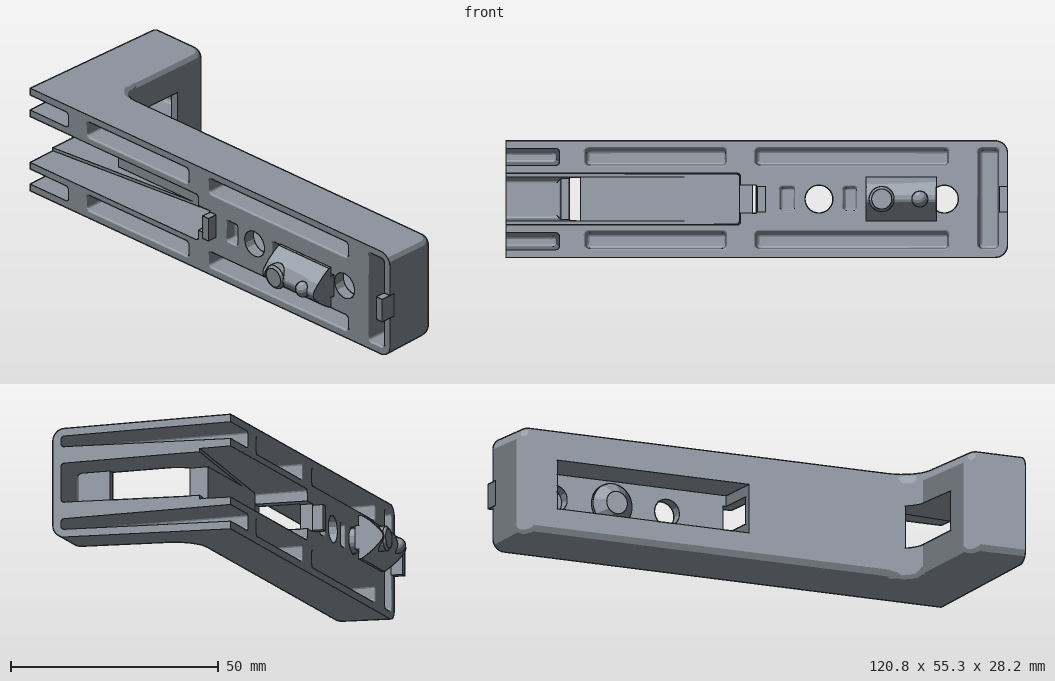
import cadquery as cq
import math

DRAFT = 1.0
draft_slope = math.tan(math.radians(DRAFT))
OVERCUT = 2.4

bracket_length = 120.8
bracket_width = 28.2
arm_height = 45.3
bar_height = 15.3
arm_thickness = 15.1
edge_radius = 3.0
inner_corner_radius = 6.0
wall = 2.0
pocket_radius = 1.0
mouth_radius = 0.5

side_pocket_spans = [(18.7, 53.7), (59.7, 107.2)]
side_pocket_inner = 7.5
side_pocket_outer = 12.6
arm_pocket_end = 12.9
arm_pocket_inner = 8.1
arm_pocket_outer = 12.2
end_pocket_start = 113.3
end_pocket_end = 119.3

narrow_half_width = 5.3
cavity_end = 13.7
window_end = 18.0
window_top = 35.3
narrow_floor = 12.0
ramp_half_width = 6.3
ramp_end = 56.5
ramp_start_depth = 7.9
narrow_floor_end = 42.9
ramp_slope = (narrow_floor - ramp_start_depth) / narrow_floor_end
slot_half_width = 3.4
slot_end = 60.3

groove_start = 59.5
groove_end = 111.2
groove_half_width = 6.0
plate_thickness = 3.0

hole_diameter = 6.6
hole_pitch = 15.1
first_hole_x = 75.4
screw_x = first_hole_x + hole_pitch
hole_positions = [first_hole_x + i * hole_pitch for i in range(3)]
key_height = 2.7
key_thickness = 1.9
key_width = 6.2
key_root = 1.5
first_key_start = 60.5
key_starts = [first_key_start, bracket_length - key_thickness]
key_pocket_width = 6.5
key_pocket_depth = 2.7
key_pocket_radius = 0.6
key_pocket_offset = hole_pitch / 2
key_pocket_lengths = [4.4, 4.0]

shank_diameter = 6.0
shank_end = -9.1
shank_chamfer = 0.6
head_diameter = 10.5
head_height = 2.4
head_top_diameter = 5.5
dome_bulge = 0.55
washer_thickness = 0.8

nut_start = 86.8
nut_length = 16.9
nut_top = -1.7
neck_half_width = 2.9
shoulder_y = -2.7
nut_half_width = 5.3
flank_start_y = -3.4
flank_middle = (3.4, -6.2)
tip_half_width = 1.2
tip_start_y = -8.3
nut_bottom = -8.8

ball_radius = 1.9
ball_x = screw_x + 9.2
ball_y = -8.1


def box(x_range, y_range, half_width):
    """Box between two X and two Y limits, centred on Z = 0."""
    return cq.Workplane("XY").box(
        x_range[1] - x_range[0], y_range[1] - y_range[0], 2 * half_width, centered=(False, False, True)
    ).translate((x_range[0], y_range[0], 0))


def cylinder(x, y_range, diameter):
    """Cylinder along Y between two Y limits."""
    return (
        cq.Workplane("ZX", origin=(0, y_range[0], 0))
        .center(0, x)
        .circle(diameter / 2)
        .extrude(y_range[1] - y_range[0])
    )


def drafted_pocket(x_range, z_range, depth, base_y=0.0):
    """Tapered cutter rising from base_y."""
    return (
        cq.Workplane("ZX", origin=(0, base_y, 0))
        .center(sum(z_range) / 2, sum(x_range) / 2)
        .rect(z_range[1] - z_range[0], x_range[1] - x_range[0])
        .extrude(depth, taper=DRAFT)
    )


def rounded_pocket(x_range, z_range, depth, radius):
    """Tapered cutter rising from the mounting face, rounded on its corners and floor."""
    return drafted_pocket(x_range, z_range, depth).edges("not <Y").fillet(radius)


def bracket_blank():
    """L-shaped block with drafted sides and rounded outer edges."""
    arm_foot = arm_thickness + (arm_height - bar_height) * draft_slope
    side_profile = (
        cq.Workplane("XY")
        .polyline([
            (0, 0),
            (bracket_length, 0),
            (bracket_length - bar_height * draft_slope, bar_height),
            (arm_foot, bar_height),
            (arm_thickness, arm_height),
            (0, arm_height),
        ])
        .close()
        .extrude(bracket_width / 2, both=True)
    )
    half_width = bracket_width / 2
    top_half_width = half_width - arm_height * draft_slope
    end_profile = (
        cq.Workplane("YZ")
        .polyline([
            (0, -half_width),
            (arm_height, -top_half_width),
            (arm_height, top_half_width),
            (0, half_width),
        ])
        .close()
        .extrude(bracket_length)
    )
    corner = cq.selectors.NearestToPointSelector((arm_foot, bar_height, 0))
    blank = side_profile.intersect(end_profile).edges(corner).fillet(inner_corner_radius)
    return blank.edges("not (<X or <Y)").fillet(edge_radius)


def cut_bar_pocket(body, x_range, z_range, depth, radius):
    """Cut one blind pocket into the mounting face and round its mouth."""
    x_start, x_end = x_range
    z_start, z_end = z_range
    pocket = rounded_pocket(
        (x_start + mouth_radius, x_end - mouth_radius),
        (z_start + mouth_radius, z_end - mouth_radius),
        depth,
        radius,
    )
    mouth = cq.selectors.BoxSelector(
        (x_start, -mouth_radius, z_start), (x_end, mouth_radius, z_end), boundingbox=True
    )
    return body.cut(pocket).edges(mouth).fillet(mouth_radius)


def cut_lightening_pockets(body):
    """Hollow the end of the bar, both of its sides and the arm."""
    bar_depth = bar_height - wall
    end_x_range = (end_pocket_start, end_pocket_end)
    end_z_range = (-side_pocket_outer, side_pocket_outer)
    body = cut_bar_pocket(body, end_x_range, end_z_range, bar_depth, pocket_radius)
    for side in (-1, 1):
        z_range = sorted((side * side_pocket_inner, side * side_pocket_outer))
        for x_range in side_pocket_spans:
            body = cut_bar_pocket(body, x_range, z_range, bar_depth, pocket_radius)
        arm_z_range = sorted((side * arm_pocket_inner, side * arm_pocket_outer))
        arm_pocket = rounded_pocket((-OVERCUT, arm_pocket_end), arm_z_range, arm_height - wall, pocket_radius)
        body = body.cut(arm_pocket)
    return body


def cut_key_pockets(body):
    """Cut the two small pockets that take the keys of a mating bracket."""
    z_range = (-key_pocket_width / 2, key_pocket_width / 2)
    for direction, length in zip((-1, 1), key_pocket_lengths):
        centre = first_hole_x + direction * key_pocket_offset
        x_range = (centre - length / 2, centre + length / 2)
        body = cut_bar_pocket(body, x_range, z_range, key_pocket_depth, key_pocket_radius)
    return body


def channel():
    """Arm cavity, window through the inner corner, sloped recess and end slot."""
    narrow_z_range = (-narrow_half_width, narrow_half_width)
    cavity = drafted_pocket(
        (-OVERCUT, cavity_end), narrow_z_range, arm_height - wall - narrow_floor, narrow_floor
    )
    cavity = cavity.faces(">Y").edges().fillet(pocket_radius)
    window = drafted_pocket((0, window_end), narrow_z_range, window_top - narrow_floor, narrow_floor)
    narrow_recess = box((-OVERCUT, narrow_floor_end), (-OVERCUT, narrow_floor), narrow_half_width)
    ramp_profile = (
        cq.Workplane("XY")
        .polyline([
            (-OVERCUT, 0),
            (ramp_end, 0),
            (ramp_end, ramp_start_depth + ramp_end * ramp_slope),
            (-OVERCUT, ramp_start_depth - OVERCUT * ramp_slope),
        ])
        .close()
        .extrude(ramp_half_width, both=True)
    )
    ramp_walls = drafted_pocket((-OVERCUT, ramp_end), (-ramp_half_width, ramp_half_width), bar_height)
    sloped_recess = ramp_walls.edges("not (<Y or >Y)").fillet(pocket_radius).intersect(ramp_profile)
    slot_start = ramp_end - bar_height * draft_slope
    slot_depth = ramp_start_depth + slot_start * ramp_slope
    slot = box((slot_start, slot_end), (0, slot_depth), slot_half_width)
    return [cavity, window, narrow_recess, sloped_recess, slot]


def bar_openings():
    """Back groove for the screw head and the screw holes."""
    cutters = [box((groove_start, groove_end), (plate_thickness, bar_height + OVERCUT), groove_half_width)]
    for x in hole_positions:
        cutters.append(cylinder(x, (-OVERCUT, bar_height), hole_diameter))
    return cutters


def make_bracket():
    """Complete bracket with the two locating keys below its mounting face."""
    body = cut_key_pockets(cut_lightening_pockets(bracket_blank()))
    for cutter in channel() + bar_openings():
        body = body.cut(cutter)
    for start in key_starts:
        body = body.union(box((start, start + key_thickness), (-key_height, key_root), key_width / 2))
    return body


def make_washer():
    """Flat ring between the bracket plate and the screw head."""
    y_range = (plate_thickness, plate_thickness + washer_thickness)
    return cylinder(screw_x, y_range, head_diameter).cut(cylinder(screw_x, y_range, shank_diameter))


def make_screw():
    """Domed-head screw with a chamfered tip."""
    head_base = plate_thickness + washer_thickness
    head_top = head_base + head_height
    head_radius = head_diameter / 2
    top_radius = head_top_diameter / 2
    shank_radius = shank_diameter / 2
    dome_middle = (
        top_radius + dome_bulge * (head_radius - top_radius),
        head_base + dome_bulge * head_height,
    )
    return (
        cq.Workplane("XY")
        .moveTo(0, shank_end)
        .lineTo(shank_radius - shank_chamfer, shank_end)
        .lineTo(shank_radius, shank_end + shank_chamfer)
        .lineTo(shank_radius, head_base)
        .lineTo(head_radius, head_base)
        .threePointArc(dome_middle, (top_radius, head_top))
        .lineTo(0, head_top)
        .close()
        .revolve(360, (0, 0, 0), (0, 1, 0))
        .translate((screw_x, 0, 0))
    )


def make_ball():
    """Spring ball pressed into the tip of the nut."""
    return cq.Workplane("XY").sphere(ball_radius).translate((ball_x, ball_y, 0))


def make_nut():
    """T-nut with a neck, curved flanks, a screw hole and a seat for the ball."""
    middle_z, middle_y = flank_middle
    body = (
        cq.Workplane("ZY", origin=(nut_start, 0, 0))
        .moveTo(-neck_half_width, nut_top)
        .lineTo(neck_half_width, nut_top)
        .lineTo(neck_half_width, shoulder_y)
        .lineTo(nut_half_width, shoulder_y)
        .lineTo(nut_half_width, flank_start_y)
        .threePointArc((middle_z, middle_y), (tip_half_width, tip_start_y))
        .threePointArc((0, nut_bottom), (-tip_half_width, tip_start_y))
        .threePointArc((-middle_z, middle_y), (-nut_half_width, flank_start_y))
        .lineTo(-nut_half_width, shoulder_y)
        .lineTo(-neck_half_width, shoulder_y)
        .close()
        .extrude(-nut_length)
    )
    ball_bore = cylinder(ball_x, (nut_bottom - OVERCUT, ball_y), 2 * ball_radius)
    screw_hole = cylinder(screw_x, (nut_bottom - OVERCUT, 0), shank_diameter)
    return body.cut(screw_hole).cut(ball_bore).cut(make_ball())


bracket = make_bracket()
washer = make_washer()
screw = make_screw()
nut = make_nut()
ball = make_ball()

bodies = [bracket, washer, screw, nut, ball]
result = cq.Compound.makeCompound([body.solids().val() for body in bodies])